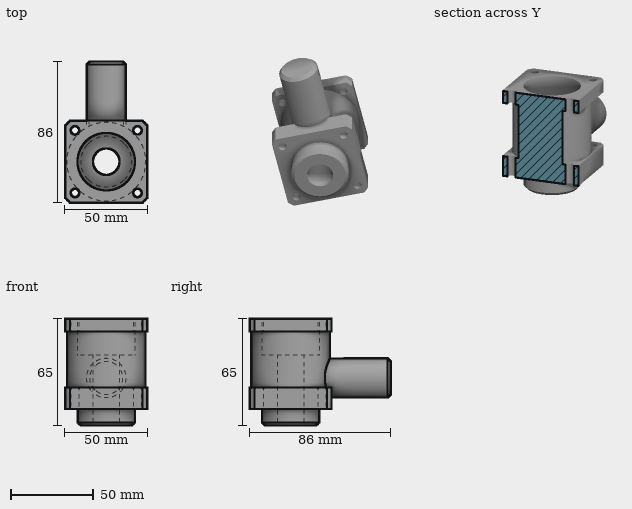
import cadquery as cq

flange_side = 50.0
corner_clip = 3.0
top_flange_height = 8.0
base_flange_height = 13.0
screw_hole_diameter = 5.0
screw_hole_spacing = 38.0

body_diameter = 48.0
spigot_diameter = 35.0
spigot_height = 10.0
total_height = 65.0
pocket_diameter = 35.0
pocket_depth = 22.0
through_bore_diameter = 16.0

total_length = 86.0
shaft_diameter = 24.0
shaft_axis_height = 28.9
end_chamfer = 2.0

shaft_reach = total_length - flange_side / 2
top_flange_bottom = total_height - top_flange_height


def cylinder(diameter, bottom, top):
    """Vertical cylinder on the body axis."""
    return cq.Workplane("XY").workplane(offset=bottom).circle(diameter / 2).extrude(top - bottom)


def flange(bottom, height):
    """Square plate with clipped corners and four screw holes."""
    plate = (
        cq.Workplane("XY")
        .workplane(offset=bottom)
        .rect(flange_side, flange_side)
        .extrude(height)
        .edges("|Z")
        .chamfer(corner_clip)
    )
    return (
        plate.faces(">Z")
        .workplane()
        .rect(screw_hole_spacing, screw_hole_spacing, forConstruction=True)
        .vertices()
        .hole(screw_hole_diameter)
    )


def shaft():
    """Shaft running from the body axis along +Y, chamfered at its free end."""
    return (
        cq.Workplane("XZ", origin=(0, 0, shaft_axis_height))
        .circle(shaft_diameter / 2)
        .extrude(-shaft_reach)
        .faces(">Y")
        .chamfer(end_chamfer)
    )


spigot = cylinder(spigot_diameter, 0, spigot_height).faces("<Z").chamfer(end_chamfer)
body = cylinder(body_diameter, spigot_height, total_height)

result = (
    body.union(spigot)
    .union(shaft())
    .union(flange(spigot_height, base_flange_height))
    .union(flange(top_flange_bottom, top_flange_height))
    .cut(cylinder(pocket_diameter, total_height - pocket_depth, total_height))
    .cut(cylinder(through_bore_diameter, 0, total_height))
)